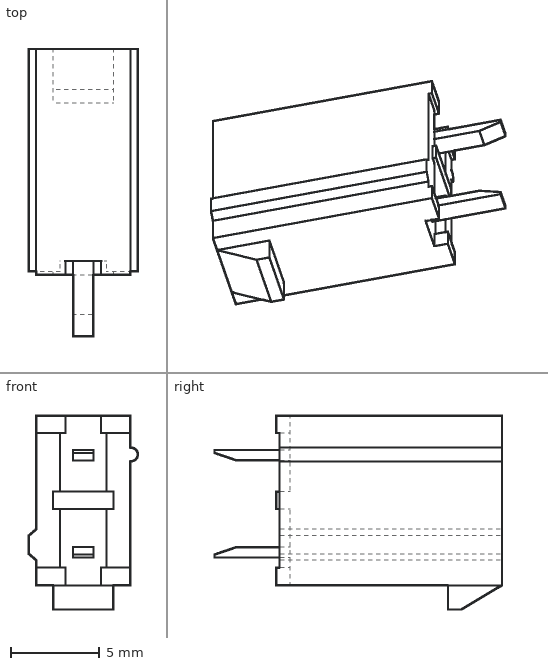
import cadquery as cq


TOTAL_LENGTH = 16.3
HOUSING_WIDTH = 5.35
HOUSING_HEIGHT = 9.62
PIN_PROJECTION = 3.49
PAD_THICKNESS = 0.2
PAD_FRONT = TOTAL_LENGTH - PIN_PROJECTION
FACE_DEPTH = PAD_FRONT - PAD_THICKNESS

PAD_HEIGHT = 1.0
CHANNEL_DEPTH = 0.78
CHANNEL_WIDTH = 2.6
CHANNEL_MOUTH_WIDTH = 2.02
CHANNEL_FLOOR = PAD_FRONT - CHANNEL_DEPTH

BAR_WIDTH = 3.4
BAR_HEIGHT = 1.0

LATCH_DROP = 1.39
LATCH_LENGTH = 3.06
LATCH_RAMP_LENGTH = 2.31

RIB_PROJECTION = 0.42
KEY_RIB_CENTER = 2.3
KEY_RIB_BASE = 1.76
KEY_RIB_CREST = 1.03
ROUND_RIB_CENTER = 7.42
ROUND_RIB_RADIUS = 0.39

PIN_WIDTH = 1.15
PIN_THICKNESS = 0.6
PIN_TIP_THICKNESS = 0.18
PIN_TAPER_LENGTH = 1.24
LOWER_PIN_BOTTOM = 1.56
UPPER_PIN_TOP = 7.68


def block(width, y_start, y_end, z_start, z_end):
    """Box centred on X, spanning the given Y and Z ranges."""
    return cq.Workplane("XY").box(
        width, y_end - y_start, z_end - z_start, centered=(True, False, False)
    ).translate((0, y_start, z_start))


def side_profile(points, width):
    """Extrude a (y, z) outline symmetrically about X = 0."""
    return cq.Workplane("YZ").polyline(points).close().extrude(width / 2, both=True)


def make_housing():
    """Block with four raised corner pads and a channel narrowed between the pads."""
    pad_top = HOUSING_HEIGHT - PAD_HEIGHT
    housing = block(HOUSING_WIDTH, 0, PAD_FRONT, 0, HOUSING_HEIGHT)
    housing = housing.cut(block(HOUSING_WIDTH, FACE_DEPTH, PAD_FRONT, PAD_HEIGHT, pad_top))
    housing = housing.cut(block(CHANNEL_WIDTH, CHANNEL_FLOOR, PAD_FRONT, PAD_HEIGHT, pad_top))
    return housing.cut(block(CHANNEL_MOUTH_WIDTH, CHANNEL_FLOOR, PAD_FRONT, 0, HOUSING_HEIGHT))


def make_cross_bar():
    """Bar across the channel, flush with the corner pads."""
    bottom = (HOUSING_HEIGHT - BAR_HEIGHT) / 2
    return block(BAR_WIDTH, CHANNEL_FLOOR, PAD_FRONT, bottom, bottom + BAR_HEIGHT)


def make_latch():
    """Ramped hook under the rear of the housing."""
    outline = [
        (0, 0),
        (LATCH_RAMP_LENGTH, -LATCH_DROP),
        (LATCH_LENGTH, -LATCH_DROP),
        (LATCH_LENGTH, 0),
    ]
    return side_profile(outline, BAR_WIDTH)


def make_key_rib():
    """Trapezoidal rib along the -X side."""
    wall = -HOUSING_WIDTH / 2
    crest = wall - RIB_PROJECTION
    outline = [
        (wall, KEY_RIB_CENTER - KEY_RIB_BASE / 2),
        (wall, KEY_RIB_CENTER + KEY_RIB_BASE / 2),
        (crest, KEY_RIB_CENTER + KEY_RIB_CREST / 2),
        (crest, KEY_RIB_CENTER - KEY_RIB_CREST / 2),
    ]
    return cq.Workplane("XZ").polyline(outline).close().extrude(-FACE_DEPTH)


def make_round_rib():
    """Round-nosed rib along the +X side."""
    wall = HOUSING_WIDTH / 2
    crest = wall + RIB_PROJECTION
    arc_start = crest - ROUND_RIB_RADIUS
    bottom = ROUND_RIB_CENTER - ROUND_RIB_RADIUS
    top = ROUND_RIB_CENTER + ROUND_RIB_RADIUS
    return (
        cq.Workplane("XZ")
        .moveTo(wall, bottom)
        .lineTo(arc_start, bottom)
        .threePointArc((crest, ROUND_RIB_CENTER), (arc_start, top))
        .lineTo(wall, top)
        .close()
        .extrude(-FACE_DEPTH)
    )


def make_pin(outer_z, inward):
    """Pin with a flat outer side at outer_z; inward (+1 or -1) is the Z direction of its tapered side."""
    inner_z = outer_z + inward * PIN_THICKNESS
    tip_z = outer_z + inward * PIN_TIP_THICKNESS
    outline = [
        (CHANNEL_FLOOR, outer_z),
        (TOTAL_LENGTH, outer_z),
        (TOTAL_LENGTH, tip_z),
        (TOTAL_LENGTH - PIN_TAPER_LENGTH, inner_z),
        (CHANNEL_FLOOR, inner_z),
    ]
    return side_profile(outline, PIN_WIDTH)


part = make_housing()
features = [
    make_cross_bar(),
    make_latch(),
    make_key_rib(),
    make_round_rib(),
    make_pin(LOWER_PIN_BOTTOM, 1),
    make_pin(UPPER_PIN_TOP, -1),
]
for feature in features:
    part = part.union(feature)

result = part.mirror("XZ")